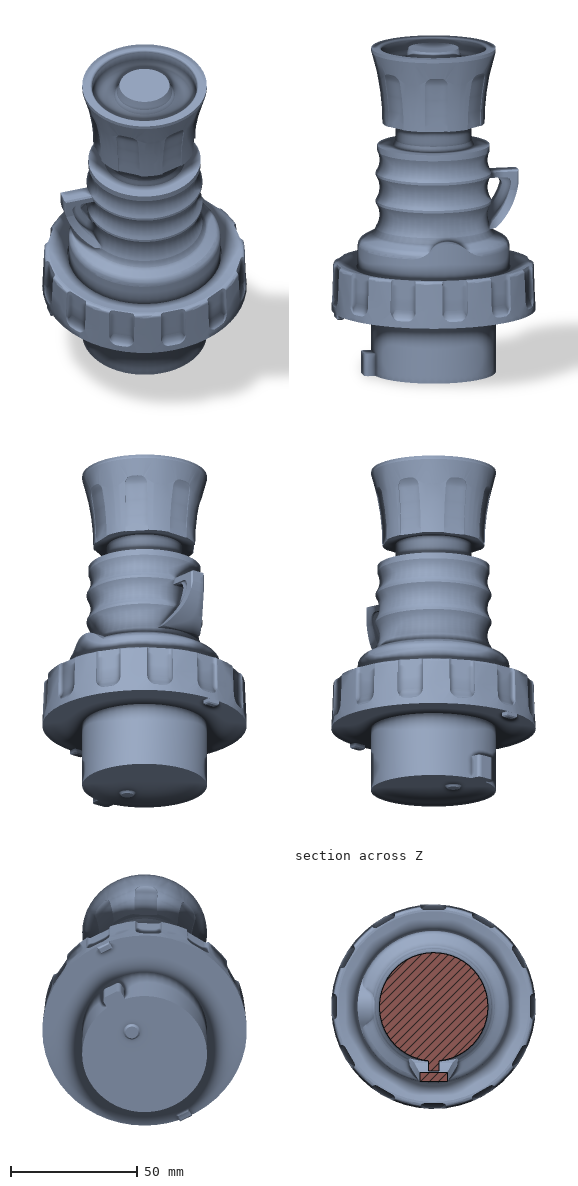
import cadquery as cq
import math

BARREL_RADIUS = 24.7
BUMP_RADIUS = 3.3
BUMP_TIP_RADIUS = 2.5
BUMP_HEIGHT = 0.9
BUMP_Y = 10.8
KEY_WIDTH = 8.0
KEY_HEIGHT = 9.0
KEY_REACH = 28.7
KEY_EDGE_ROUND = 1.6

RING_BOTTOM_Z = 25.3
RING_TOP_Z = 44.05
RING_BOTTOM_RADIUS = 40.45
RING_TOP_RADIUS = 39.7
RING_EDGE_ROUND = 1.2
RING_LIP_RADIUS = 37.7
RING_DISH_DEPTH = 1.7
RING_BORE_RADIUS = 30.5
RING_BORE_DEPTH = 3.0
SCALLOP_COUNT = 12
SCALLOP_WIDTH = 10.3
SCALLOP_FLOOR = 38.2
SCALLOP_SIDE_ROUND = 1.5
SCALLOP_STRAIGHT_Z = 31.9
SCALLOP_BOTTOM_Z = 27.8
SCALLOP_CORNER = 3.8
PEG_LENGTH = 5.3
PEG_INNER = 37.3
PEG_OUTER = 40.3
PEG_DROP = 1.9
PEG_CHAMFER = 0.5

BODY_RADIUS = 30.0
BODY_EDGE_Z = 50.9
SHOULDER_OUTER = (28.2, 54.0)
SHOULDER_INNER = (24.3, 56.1)
SHOULDER_BLEND = (23.4, 57.1)
ARCH_PEAK_Z = 57.2
ARCH_TURN = (7.0, 54.4)
ARCH_FLANK = (10.2, 52.2)
ARCH_END_Y = 14.5
ARCH_INNER_X = 22.0

GRIP_FOOT_RADIUS = 22.9
GRIP_FOOT_Z = 58.3
RIDGE_RADIUS = 22.9
RIDGE_HEIGHT = 1.0
RIDGE_LEVELS = (68.8, 80.0)
WAIST_RADIUS = 21.4
FLANGE_RADIUS = 22.25
FLANGE_BOTTOM_Z = 89.2
FLANGE_TOP_Z = 91.6

NECK_RADIUS = 15.0
NECK_FLARE = 1.0
NECK_FLARE_TOP_Z = 93.6

KNOB_BOTTOM_Z = 100.5
KNOB_TOP_Z = 130.6
KNOB_LIP_HEIGHT = 1.4
KNOB_BOTTOM_RADIUS = 20.25
KNOB_TOP_RADIUS = 24.65
KNOB_FLARE_RADIUS = 95.0
GROOVE_COUNT = 7
GROOVE_PHASE = 273.5
GROOVE_WIDTH = 8.9
GROOVE_DEPTH = 0.9
GROOVE_STRAIGHT_Z = 119.6
GROOVE_TOP_Z = 122.6
GROOVE_CORNER = 3.0

RIM_RADIUS = 21.5
RECESS_WALL_TOP = (20.8, 1.0)
RECESS_WALL_BOTTOM = (20.5, 4.4)
RECESS_DEPTH = 6.1
RECESS_FLOOR_OUTER = 18.3
RECESS_FLOOR_INNER = 15.7
BUTTON_RADIUS = 9.9
BUTTON_FOOT = (10.9, 3.4)
BUTTON_KNEE = (12.0, 4.8)
BUTTON_BLEND = (13.7, 5.8)

HOOK_REACH = 33.9
HOOK_ROOT = 20.0
HOOK_TOP_Z = 80.5
HOOK_UNDERSIDE_Z = 77.7
HOOK_STRAP_WIDTH = 6.5
HOOK_STRAP_CHAMFER = 0.6
HOOK_WEB_WIDTH = 4.4
HOOK_FOOT_WIDTH = 19.8
HOOK_FOOT_Z = 58.2
HOOK_FLARE_TOP_Z = 72.5
HOOK_FLARE_MIDDLE = (4.8, 66.5)
STRAP_STRAIGHT_Z = 76.0
STRAP_OUTER_MIDDLE = (-30.4, 66.0)
STRAP_OUTER_FOOT = (-23.3, 58.8)
STRAP_INNER_FOOT = (-22.2, 61.2)
STRAP_INNER_MIDDLE = (-27.5, 67.0)
STRAP_INNER_TOP = (-30.6, 74.6)
STRAP_CORNER = (-30.2, 76.8)
STRAP_CORNER_END_Y = -28.8
WEB_REACH = 32.0
WEB_FOOT = (-22.2, 66.0)
WEB_MIDDLE = (-25.1, 69.8)
WEB_TOP = (-27.1, 74.5)
WEB_CORNER = (-26.6, 76.7)
WEB_CORNER_END_Y = -24.6


def knob_radius(z):
    """Outer radius of the knob's concave flare at height z."""
    rise = KNOB_TOP_Z - KNOB_LIP_HEIGHT - KNOB_BOTTOM_Z
    spread = KNOB_TOP_RADIUS - KNOB_BOTTOM_RADIUS
    chord = math.hypot(rise, spread)
    to_center = math.sqrt(KNOB_FLARE_RADIUS**2 - chord**2 / 4)
    center_r = KNOB_BOTTOM_RADIUS + spread / 2 + to_center * rise / chord
    center_z = KNOB_BOTTOM_Z + rise / 2 - to_center * spread / chord
    return center_r - math.sqrt(KNOB_FLARE_RADIUS**2 - (z - center_z) ** 2)


def round_radius(inset, drop):
    """Radius of an arc that starts upright and moves inward by inset over a height of drop."""
    return (inset**2 + drop**2) / (2 * inset)


def build_body():
    """Barrel, shoulder, ribbed grip, neck and knob, turned about Z."""
    half_ridge = RIDGE_HEIGHT / 2
    shoulder_round = round_radius(BODY_RADIUS - SHOULDER_OUTER[0], SHOULDER_OUTER[1] - BODY_EDGE_Z)
    outline = (
        cq.Workplane("XZ")
        .lineTo(BARREL_RADIUS, 0)
        .lineTo(BARREL_RADIUS, RING_BOTTOM_Z)
        .lineTo(BODY_RADIUS, RING_BOTTOM_Z)
        .lineTo(BODY_RADIUS, BODY_EDGE_Z)
        .radiusArc(SHOULDER_OUTER, -shoulder_round)
        .lineTo(*SHOULDER_INNER)
        .threePointArc(SHOULDER_BLEND, (GRIP_FOOT_RADIUS, GRIP_FOOT_Z))
    )
    wave_start = GRIP_FOOT_Z
    for level in RIDGE_LEVELS:
        ridge_bottom = level - half_ridge
        ridge_top = level + half_ridge
        outline = (
            outline.threePointArc(
                (WAIST_RADIUS, (wave_start + ridge_bottom) / 2), (RIDGE_RADIUS, ridge_bottom)
            )
            .lineTo(RIDGE_RADIUS, ridge_top)
        )
        wave_start = ridge_top
    knob_lip_z = KNOB_TOP_Z - KNOB_LIP_HEIGHT
    knob_middle_z = (KNOB_BOTTOM_Z + knob_lip_z) / 2
    return (
        outline.threePointArc(
            (WAIST_RADIUS, (wave_start + FLANGE_BOTTOM_Z) / 2), (FLANGE_RADIUS, FLANGE_BOTTOM_Z)
        )
        .lineTo(FLANGE_RADIUS, FLANGE_TOP_Z)
        .lineTo(NECK_RADIUS + NECK_FLARE, FLANGE_TOP_Z)
        .lineTo(NECK_RADIUS, NECK_FLARE_TOP_Z)
        .lineTo(NECK_RADIUS, KNOB_BOTTOM_Z)
        .lineTo(KNOB_BOTTOM_RADIUS, KNOB_BOTTOM_Z)
        .threePointArc((knob_radius(knob_middle_z), knob_middle_z), (KNOB_TOP_RADIUS, knob_lip_z))
        .lineTo(KNOB_TOP_RADIUS, KNOB_TOP_Z)
        .lineTo(0, KNOB_TOP_Z)
        .close()
        .revolve(360, (0, 0, 0), (0, 1, 0))
    )


def build_knob_recess():
    """Ring-shaped recess between the knob rim and the button."""

    def below_top(point):
        return (point[0], KNOB_TOP_Z - point[1])

    floor_z = KNOB_TOP_Z - RECESS_DEPTH
    wall_round = RECESS_WALL_BOTTOM[0] - RECESS_FLOOR_OUTER
    corner_inset = 1 - math.sqrt(0.5)
    wall_blend = (
        RECESS_WALL_BOTTOM[0] - wall_round * corner_inset,
        floor_z + (RECESS_DEPTH - RECESS_WALL_BOTTOM[1]) * corner_inset,
    )
    rim_blend = (
        RECESS_WALL_TOP[0] + (RIM_RADIUS - RECESS_WALL_TOP[0]) * corner_inset,
        KNOB_TOP_Z - RECESS_WALL_TOP[1] * corner_inset,
    )
    return (
        cq.Workplane("XZ")
        .moveTo(BUTTON_RADIUS, KNOB_TOP_Z)
        .lineTo(*below_top(BUTTON_FOOT))
        .lineTo(*below_top(BUTTON_KNEE))
        .threePointArc(below_top(BUTTON_BLEND), (RECESS_FLOOR_INNER, floor_z))
        .lineTo(RECESS_FLOOR_OUTER, floor_z)
        .threePointArc(wall_blend, below_top(RECESS_WALL_BOTTOM))
        .lineTo(*below_top(RECESS_WALL_TOP))
        .threePointArc(rim_blend, (RIM_RADIUS, KNOB_TOP_Z))
        .close()
        .revolve(360, (0, 0, 0), (0, 1, 0))
    )


def groove_floor(z):
    """Profile point on the groove floor, a constant depth inside the flare."""
    return (knob_radius(z) - GROOVE_DEPTH, z)


def build_knob_groove():
    """Cutter for one finger groove, on the +X side of the knob."""
    clear = KNOB_TOP_RADIUS + 1
    end_blend_z = GROOVE_TOP_Z - (GROOVE_TOP_Z - GROOVE_STRAIGHT_Z) / 4
    end_blend = (knob_radius(end_blend_z) - GROOVE_DEPTH / 2, end_blend_z)
    profile = (
        cq.Workplane("XZ", origin=(0, GROOVE_WIDTH / 2, 0))
        .moveTo(*groove_floor(KNOB_BOTTOM_Z))
        .threePointArc(
            groove_floor((KNOB_BOTTOM_Z + GROOVE_STRAIGHT_Z) / 2),
            groove_floor(GROOVE_STRAIGHT_Z),
        )
        .threePointArc(end_blend, (knob_radius(GROOVE_TOP_Z), GROOVE_TOP_Z))
        .lineTo(clear, GROOVE_TOP_Z)
        .lineTo(clear, KNOB_BOTTOM_Z)
        .close()
        .extrude(GROOVE_WIDTH)
    )
    height = GROOVE_TOP_Z - KNOB_BOTTOM_Z
    outline = (
        cq.Workplane("XY")
        .box(clear, GROOVE_WIDTH, height, centered=(False, True, False))
        .edges("|X and >Z")
        .fillet(GROOVE_CORNER)
        .translate((0, 0, KNOB_BOTTOM_Z))
    )
    return profile.intersect(outline)


def build_scallop():
    """Cutter for one scallop with rounded sides, on the +X side of the ring."""
    clear = RING_BOTTOM_RADIUS + 1
    top_z = RING_TOP_Z + 1
    end_round = round_radius(RING_BOTTOM_RADIUS - SCALLOP_FLOOR, SCALLOP_STRAIGHT_Z - SCALLOP_BOTTOM_Z)
    profile = (
        cq.Workplane("XZ", origin=(0, SCALLOP_WIDTH / 2, 0))
        .moveTo(SCALLOP_FLOOR, top_z)
        .lineTo(SCALLOP_FLOOR, SCALLOP_STRAIGHT_Z)
        .radiusArc((RING_BOTTOM_RADIUS, SCALLOP_BOTTOM_Z), -end_round)
        .lineTo(clear, SCALLOP_BOTTOM_Z)
        .lineTo(clear, top_z)
        .close()
        .extrude(SCALLOP_WIDTH)
    )
    outline = (
        cq.Workplane("XY", origin=(SCALLOP_FLOOR, 0, SCALLOP_BOTTOM_Z))
        .box(clear, SCALLOP_WIDTH, top_z - SCALLOP_BOTTOM_Z, centered=(False, True, False))
        .edges("|X and <Z")
        .fillet(SCALLOP_CORNER)
    )
    plan = (
        cq.Workplane("XY", origin=(SCALLOP_FLOOR, 0, SCALLOP_BOTTOM_Z))
        .box(clear, SCALLOP_WIDTH, top_z - SCALLOP_BOTTOM_Z, centered=(False, True, False))
        .edges("|Z and <X")
        .fillet(SCALLOP_SIDE_ROUND)
    )
    return profile.intersect(outline).intersect(plan)


def build_ring():
    """Coupling ring with a dished top and scalloped rim."""
    dish_z = RING_TOP_Z - RING_DISH_DEPTH
    bore_floor_z = dish_z - RING_BORE_DEPTH
    ring = (
        cq.Workplane("XZ")
        .moveTo(0, RING_BOTTOM_Z)
        .lineTo(RING_BOTTOM_RADIUS, RING_BOTTOM_Z)
        .lineTo(RING_TOP_RADIUS, RING_TOP_Z - RING_EDGE_ROUND)
        .radiusArc((RING_TOP_RADIUS - RING_EDGE_ROUND, RING_TOP_Z), -RING_EDGE_ROUND)
        .lineTo(RING_LIP_RADIUS, RING_TOP_Z)
        .lineTo(RING_BORE_RADIUS, dish_z)
        .lineTo(RING_BORE_RADIUS, bore_floor_z)
        .lineTo(0, bore_floor_z)
        .close()
        .revolve(360, (0, 0, 0), (0, 1, 0))
    )
    scallop = build_scallop()
    for index in range(SCALLOP_COUNT):
        ring = ring.cut(scallop.rotate((0, 0, 0), (0, 0, 1), index * 360 / SCALLOP_COUNT))
    return ring


def build_ring_peg():
    """Small peg under the ring on the -Y side."""
    return (
        cq.Workplane("XY", origin=(PEG_LENGTH / 2, -(PEG_INNER + PEG_OUTER) / 2, RING_BOTTOM_Z - PEG_DROP))
        .rect(PEG_LENGTH, PEG_OUTER - PEG_INNER)
        .extrude(PEG_DROP)
        .faces("<Z")
        .chamfer(PEG_CHAMFER)
    )


def build_arch():
    """Arched pad on the -X side, standing flush with the body cylinder."""
    turn_y, turn_z = ARCH_TURN
    flank_y, flank_z = ARCH_FLANK
    slab = (
        cq.Workplane("YZ", origin=(-BODY_RADIUS, 0, 0))
        .moveTo(-ARCH_END_Y, BODY_EDGE_Z)
        .threePointArc((-flank_y, flank_z), (-turn_y, turn_z))
        .threePointArc((0, ARCH_PEAK_Z), (turn_y, turn_z))
        .threePointArc((flank_y, flank_z), (ARCH_END_Y, BODY_EDGE_Z))
        .close()
        .extrude(BODY_RADIUS - ARCH_INNER_X)
    )
    return slab.intersect(cq.Workplane("XY").circle(BODY_RADIUS).extrude(ARCH_PEAK_Z + 1))


def build_hook_strap():
    """Outer strap of the hook, flaring out towards its foot, with bevelled outer edges."""
    side = (
        cq.Workplane("YZ", origin=(-HOOK_FOOT_WIDTH / 2, 0, 0))
        .moveTo(-HOOK_ROOT, HOOK_TOP_Z)
        .lineTo(-HOOK_REACH, HOOK_TOP_Z)
        .lineTo(-HOOK_REACH, STRAP_STRAIGHT_Z)
        .threePointArc(STRAP_OUTER_MIDDLE, STRAP_OUTER_FOOT)
        .lineTo(-HOOK_ROOT, HOOK_FOOT_Z)
        .lineTo(*STRAP_INNER_FOOT)
        .threePointArc(STRAP_INNER_MIDDLE, STRAP_INNER_TOP)
        .threePointArc(STRAP_CORNER, (STRAP_CORNER_END_Y, HOOK_UNDERSIDE_Z))
        .lineTo(-HOOK_ROOT, HOOK_UNDERSIDE_Z)
        .close()
        .extrude(HOOK_FOOT_WIDTH)
    )
    half_strap = HOOK_STRAP_WIDTH / 2
    half_foot = HOOK_FOOT_WIDTH / 2
    flare_x, flare_z = HOOK_FLARE_MIDDLE
    front = (
        cq.Workplane("XZ", origin=(0, -HOOK_ROOT, 0))
        .moveTo(-half_strap, HOOK_TOP_Z)
        .lineTo(-half_strap, HOOK_FLARE_TOP_Z)
        .threePointArc((-flare_x, flare_z), (-half_foot, HOOK_FOOT_Z))
        .lineTo(half_foot, HOOK_FOOT_Z)
        .threePointArc((flare_x, flare_z), (half_strap, HOOK_FLARE_TOP_Z))
        .lineTo(half_strap, HOOK_TOP_Z)
        .close()
        .extrude(HOOK_REACH)
    )
    strap = side.intersect(front)
    return strap.faces(">Z or <Y").edges("|Y or |Z").chamfer(HOOK_STRAP_CHAMFER)


def build_hook():
    """Finger hook: the flared strap, backed by a narrow web."""
    web = (
        cq.Workplane("YZ", origin=(-HOOK_WEB_WIDTH / 2, 0, 0))
        .moveTo(-HOOK_ROOT, HOOK_TOP_Z)
        .lineTo(-WEB_REACH, HOOK_TOP_Z)
        .lineTo(-WEB_REACH, STRAP_STRAIGHT_Z)
        .lineTo(*STRAP_INNER_MIDDLE)
        .lineTo(*STRAP_INNER_FOOT)
        .lineTo(-HOOK_ROOT, HOOK_FOOT_Z)
        .lineTo(-HOOK_ROOT, WEB_FOOT[1])
        .lineTo(*WEB_FOOT)
        .threePointArc(WEB_MIDDLE, WEB_TOP)
        .threePointArc(WEB_CORNER, (WEB_CORNER_END_Y, HOOK_UNDERSIDE_Z))
        .lineTo(-HOOK_ROOT, HOOK_UNDERSIDE_Z)
        .close()
        .extrude(HOOK_WEB_WIDTH)
    )
    return build_hook_strap().union(web)


def build_key():
    """Guide key on the +Y side of the barrel, with rounded outer edges."""
    return (
        cq.Workplane("XY")
        .box(KEY_WIDTH, KEY_REACH, KEY_HEIGHT, centered=(True, False, False))
        .edges("|Z and >Y")
        .fillet(KEY_EDGE_ROUND)
    )


def build_bump():
    """Tapered bump on the bottom face."""
    return (
        cq.Workplane("XY", origin=(0, BUMP_Y, 0))
        .circle(BUMP_RADIUS)
        .workplane(offset=-BUMP_HEIGHT)
        .circle(BUMP_TIP_RADIUS)
        .loft()
    )


body = build_body().cut(build_knob_recess())
groove = build_knob_groove()
for index in range(GROOVE_COUNT):
    body = body.cut(groove.rotate((0, 0, 0), (0, 0, 1), GROOVE_PHASE + index * 360 / GROOVE_COUNT))

peg = build_ring_peg()
result = (
    body.union(build_ring())
    .union(peg)
    .union(peg.rotate((0, 0, 0), (0, 0, 1), 180))
    .union(build_arch())
    .union(build_hook())
    .union(build_key())
    .union(build_bump())
)